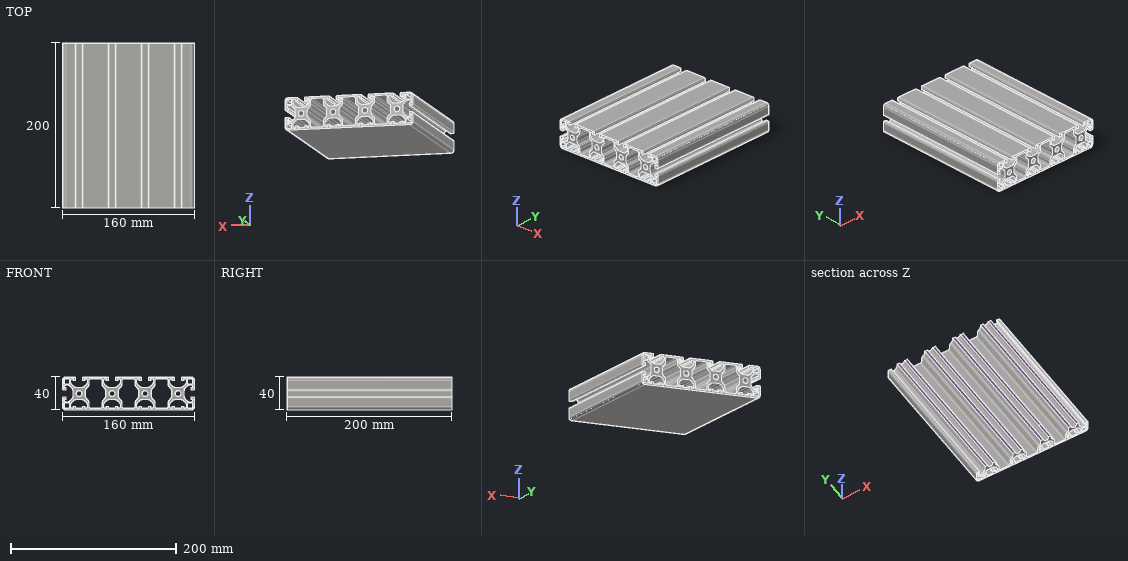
import cadquery as cq

cell = 40.0
cell_count = 4
length = 200.0
width = cell * cell_count
half_cell = cell / 2
corner_radius = 4.0

wall_thickness = 2.3
wall_inner = half_cell - wall_thickness
lip_depth = 4.5
lip_inner = half_cell - lip_depth
slot_half = 4.1
lip_side = 7.2
mouth_radius = 1.5

core_half = 7.5
core_bore = 6.8

chamber_half = 10.2
chamber_floor_half = 5.4
chamber_shoulder = core_half + chamber_half - chamber_floor_half
chamber_bend_radius = 5.0
chamber_corner_radius = 2.0

web_thickness = 1.9
hollow_half = half_cell - chamber_half - web_thickness
hollow_waist_half = 12.2
hollow_flank_start = 5.0
hollow_shoulder = hollow_flank_start + hollow_waist_half - hollow_half
hollow_bend_radius = 5.0
hollow_corner_radius = 1.7

corner_hollow_inner = 11.7
corner_hollow_size = wall_inner - corner_hollow_inner
corner_hollow_middle = corner_hollow_inner + corner_hollow_size / 2


def cell_centre(index):
    """X position of a cell centre, counted from the left."""
    return (index - (cell_count - 1) / 2) * cell


def section():
    """Workplane in the XZ plane; extrusions run towards -Y over the full length."""
    return cq.Workplane("XZ", origin=(0, length / 2, 0))


def lip(side):
    """One of the two lips of a slot that faces +Z; side is -1 or 1."""
    middle_x = side * (slot_half + lip_side) / 2
    middle_z = (lip_inner + half_cell) / 2
    return section().center(middle_x, middle_z).rect(lip_side - slot_half, lip_depth).extrude(length)


def slot_chamber():
    """Chamber behind a slot that faces +Z, with the two lips left standing in it."""
    chamber = (
        section()
        .polyline([
            (-chamber_floor_half, core_half),
            (chamber_floor_half, core_half),
            (chamber_half, chamber_shoulder),
            (chamber_half, wall_inner),
            (-chamber_half, wall_inner),
            (-chamber_half, chamber_shoulder),
        ])
        .close()
        .extrude(length)
        .edges("|Y and (not >Z)")
        .fillet(chamber_bend_radius)
        .edges("|Y and >Z")
        .fillet(chamber_corner_radius)
    )
    return chamber.cut(lip(-1)).cut(lip(1))


def slot_mouth():
    """Opening between two lips that faces +Z, flared by their rounded outer edges."""
    mouth_start = half_cell - mouth_radius
    flare_half = slot_half + mouth_radius
    return (
        section()
        .moveTo(-slot_half, lip_inner)
        .lineTo(slot_half, lip_inner)
        .lineTo(slot_half, mouth_start)
        .radiusArc((flare_half, half_cell), mouth_radius)
        .lineTo(-flare_half, half_cell)
        .radiusArc((-slot_half, mouth_start), mouth_radius)
        .close()
        .extrude(length)
    )


def hollow_between_cells():
    """Hollow between two cells, widest at the waist between their cores."""
    return (
        section()
        .polyline([
            (hollow_half, wall_inner),
            (hollow_half, hollow_shoulder),
            (hollow_waist_half, hollow_flank_start),
            (hollow_waist_half, -hollow_flank_start),
            (hollow_half, -hollow_shoulder),
            (hollow_half, -wall_inner),
            (-hollow_half, -wall_inner),
            (-hollow_half, -hollow_shoulder),
            (-hollow_waist_half, -hollow_flank_start),
            (-hollow_waist_half, hollow_flank_start),
            (-hollow_half, hollow_shoulder),
            (-hollow_half, wall_inner),
        ])
        .close()
        .extrude(length)
        .edges("|Y and (not (>Z or <Z))")
        .fillet(hollow_bend_radius)
        .edges("|Y and (>Z or <Z)")
        .fillet(hollow_corner_radius)
    )


def corner_hollows(side):
    """Two square hollows on the outer side of an end cell; side is -1 or 1."""
    middle_x = side * corner_hollow_middle
    return (
        section()
        .pushPoints([(middle_x, corner_hollow_middle), (middle_x, -corner_hollow_middle)])
        .rect(corner_hollow_size, corner_hollow_size)
        .extrude(length)
    )


def solid_bar():
    """Plain bar with its four long edges rounded."""
    return cq.Workplane("XY").box(width, length, cell).edges("|Y").fillet(corner_radius)


def turned(shape, angle):
    """Turn a shape about the Y axis through its cell centre."""
    return shape.rotate((0, 0, 0), (0, 1, 0), angle)


open_slot = slot_chamber().union(slot_mouth())
closed_slot = turned(slot_chamber(), 180)
bore = section().circle(core_bore / 2).extrude(length)
hollow = hollow_between_cells()

result = solid_bar()

for index in range(cell_count):
    for cutter in (open_slot, closed_slot, bore):
        result = result.cut(cutter.translate((cell_centre(index), 0, 0)))

for index in range(cell_count - 1):
    result = result.cut(hollow.translate((cell_centre(index) + half_cell, 0, 0)))

for side in (-1, 1):
    end_cell = (side * cell_centre(cell_count - 1), 0, 0)
    result = result.cut(turned(open_slot, side * 90).translate(end_cell))
    result = result.cut(corner_hollows(side).translate(end_cell))